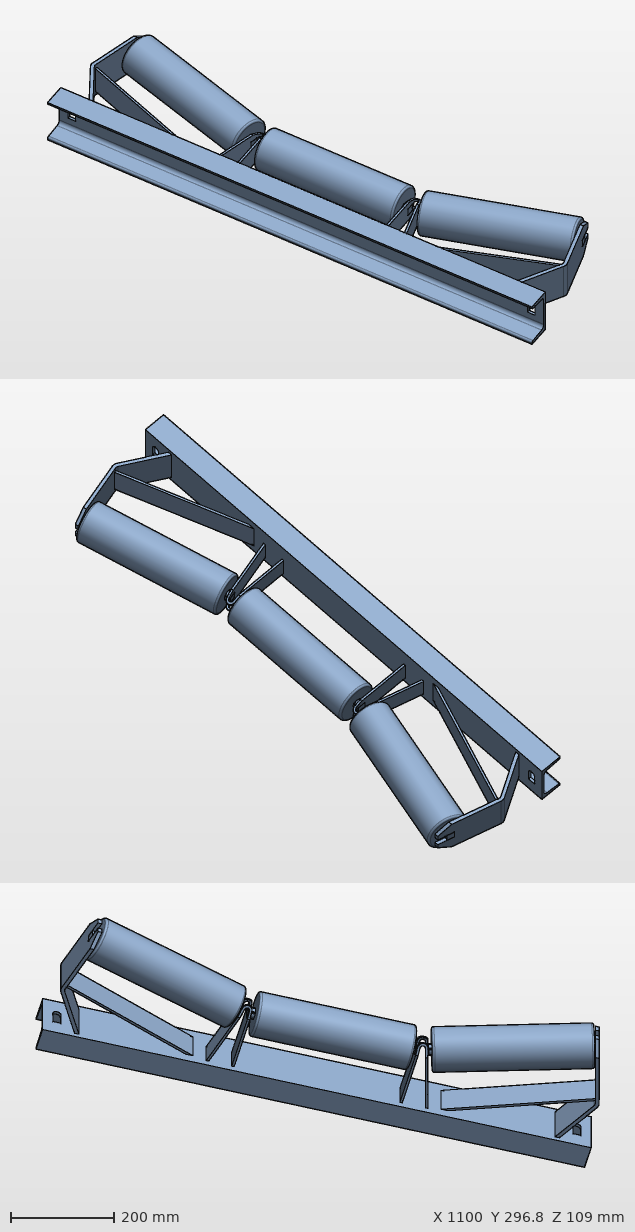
import cadquery as cq
import math


BEAM_LENGTH = 1100.0
BEAM_HEIGHT = 100.0
BEAM_DEPTH = 50.0
WEB_THICKNESS = 6.0
FLANGE_ROOT = 10.2
FLANGE_TIP = 6.8
ROOT_RADIUS = 8.5
FLANGE_TIP_RADIUS = 4.0
MOUNT_SLOT_X = 521.0
MOUNT_SLOT_WIDTH = 16.0
MOUNT_SLOT_HEIGHT = 34.0
MID_Z = BEAM_HEIGHT / 2

ROLLER_DIAMETER = 89.0
ROLLER_LENGTH = 315.0
ROLLER_EDGE_RADIUS = 4.0
SHAFT_DIAMETER = 20.0
SHAFT_SQUARE = 16.0
SHOULDER_CLEARANCE = 1.0
SLOT_LENGTH = 20.0
CENTER_AXIS_Y = 118.0
DROP_BELOW_BEAM = 9.0
CENTER_AXIS_Z = ROLLER_DIAMETER / 2 - DROP_BELOW_BEAM
SIDE_MID_X = 349.0
SIDE_MID_Y = 164.0
SIDE_YAW = 15.0
SIDE_PITCH = 2.4
SIDE_MID_Z = CENTER_AXIS_Z + ROLLER_LENGTH / 2 * math.sin(math.radians(SIDE_PITCH))

INNER_HEIGHT = 45.0
INNER_THICKNESS = 5.0
INNER_UPRIGHT_X = 166.0
INNER_LEANING_FOOT_X = 222.0
INNER_TIP_Y = 142.0
INNER_CHAMFER_RUN = INNER_TIP_Y - CENTER_AXIS_Y
INNER_CHAMFER_DROP = 11.0

OUTER_HEIGHT = 80.0
OUTER_THICKNESS = 8.0
OUTER_FOOT_X = 486.0
OUTER_TIP_X = 503.0
OUTER_TIP_Y = 235.0
OUTER_FOOT_LEAN = 30.0
OUTER_BEND_RADIUS = 15.0
OUTER_CHAMFER_RUN = 30.0
OUTER_CHAMFER_DROP = 20.0

STRUT_HEIGHT = 60.0
STRUT_THICKNESS = 5.0
STRUT_FOOT_X = 249.0
STRUT_ANGLE = 20.0

YAW_TAN = math.tan(math.radians(SIDE_YAW))
YAW_COS = math.cos(math.radians(SIDE_YAW))
YAW_SIN = math.sin(math.radians(SIDE_YAW))
FOOT_TAN = math.tan(math.radians(OUTER_FOOT_LEAN))
FOOT_COS = math.cos(math.radians(OUTER_FOOT_LEAN))

CENTER_GAP = INNER_UPRIGHT_X - ROLLER_LENGTH / 2
INNER_FACE_DISTANCE = (SIDE_MID_X - INNER_LEANING_FOOT_X) * YAW_COS + SIDE_MID_Y * YAW_SIN
INNER_LEAN_GAP = INNER_FACE_DISTANCE - ROLLER_LENGTH / 2
OUTER_FACE_DISTANCE = (OUTER_TIP_X - SIDE_MID_X) * YAW_COS + (OUTER_TIP_Y - SIDE_MID_Y) * YAW_SIN
OUTER_GAP = OUTER_FACE_DISTANCE - OUTER_THICKNESS - ROLLER_LENGTH / 2


def make_mount_slot(center_x):
    """Cutter for an upright slot with a flat lower end and a round upper end."""
    half_width = MOUNT_SLOT_WIDTH / 2
    bottom_z = MID_Z - MOUNT_SLOT_HEIGHT / 2
    top_z = MID_Z + MOUNT_SLOT_HEIGHT / 2
    return (
        cq.Workplane("XZ")
        .moveTo(center_x - half_width, bottom_z)
        .lineTo(center_x + half_width, bottom_z)
        .lineTo(center_x + half_width, top_z - half_width)
        .threePointArc((center_x, top_z), (center_x - half_width, top_z - half_width))
        .close()
        .extrude(WEB_THICKNESS)
    )


def make_beam():
    """Channel with tapered flanges pointing to -Y and a mounting slot near each end."""
    web_y = -WEB_THICKNESS
    profile = [
        (0, 0),
        (-BEAM_DEPTH, 0),
        (-BEAM_DEPTH, FLANGE_TIP),
        (web_y, FLANGE_ROOT),
        (web_y, BEAM_HEIGHT - FLANGE_ROOT),
        (-BEAM_DEPTH, BEAM_HEIGHT - FLANGE_TIP),
        (-BEAM_DEPTH, BEAM_HEIGHT),
        (0, BEAM_HEIGHT),
    ]
    beam = (
        cq.Workplane("YZ", origin=(-BEAM_LENGTH / 2, 0, 0)).polyline(profile).close().extrude(BEAM_LENGTH)
    )
    roots = [(0, web_y, FLANGE_ROOT), (0, web_y, BEAM_HEIGHT - FLANGE_ROOT)]
    tips = [(0, -BEAM_DEPTH, FLANGE_TIP), (0, -BEAM_DEPTH, BEAM_HEIGHT - FLANGE_TIP)]
    for points, radius in ((roots, ROOT_RADIUS), (tips, FLANGE_TIP_RADIUS)):
        for point in points:
            beam = beam.edges(cq.NearestToPointSelector(point)).fillet(radius)
    for center_x in (-MOUNT_SLOT_X, MOUNT_SLOT_X):
        beam = beam.cut(make_mount_slot(center_x))
    return beam


def make_roller(left_gap, left_bracket, right_gap, right_bracket):
    """Roller along X about the origin, with a shaft end squared where it sits in each bracket."""
    roller = (
        cq.Workplane("YZ", origin=(-ROLLER_LENGTH / 2, 0, 0))
        .circle(ROLLER_DIAMETER / 2)
        .extrude(ROLLER_LENGTH)
        .edges()
        .fillet(ROLLER_EDGE_RADIUS)
    )
    for side, gap, bracket in ((-1, left_gap, left_bracket), (1, right_gap, right_bracket)):
        end = cq.Workplane("YZ").workplane(offset=side * ROLLER_LENGTH / 2)
        round_part = end.circle(SHAFT_DIAMETER / 2).extrude(side * (gap - SHOULDER_CLEARANCE))
        square_part = end.rect(SHAFT_SQUARE, SHAFT_SQUARE).extrude(side * (gap + bracket))
        roller = roller.union(round_part).union(square_part)
    return roller


def make_shaft_slots():
    """Slots, open to +Y, that hold both shaft ends of a roller lying along X about the origin."""
    slot_depth = SHAFT_SQUARE / 2 + ROLLER_DIAMETER / 2
    slot_x = (ROLLER_LENGTH + SLOT_LENGTH) / 2
    ends = [(-slot_x, -SHAFT_SQUARE / 2), (slot_x, -SHAFT_SQUARE / 2)]
    slot_centering = (True, False, True)
    return cq.Workplane("XY").pushPoints(ends).box(
        SLOT_LENGTH, slot_depth, SHAFT_SQUARE, centered=slot_centering
    )


def place_center(body):
    return body.translate((0, CENTER_AXIS_Y, CENTER_AXIS_Z))


def place_side(body):
    """Move a body to the +X side roller, whose outer end is swung to +Y and raised."""
    body = body.rotate((0, 0, 0), (0, 1, 0), -SIDE_PITCH)
    body = body.rotate((0, 0, 0), (0, 0, 1), SIDE_YAW)
    return body.translate((SIDE_MID_X, SIDE_MID_Y, SIDE_MID_Z))


def extrude_bar(points, height, center_z):
    """Upright bar with the given XY outline, centred on the given Z."""
    base = cq.Workplane("XY", origin=(0, 0, center_z - height / 2))
    return base.polyline(points).close().extrude(height)


def chamfer_tip(bracket, tip_y, run, drop):
    """Slope the upper and lower corners of a bracket down to its narrow tip."""
    bounds = bracket.val().BoundingBox()
    for edge_z, tip_z in ((bounds.zmin, bounds.zmin + drop), (bounds.zmax, bounds.zmax - drop)):
        corner = [(tip_y - run, edge_z), (tip_y, edge_z), (tip_y, tip_z)]
        bracket = bracket.cut(cq.Workplane("YZ").polyline(corner).close().extrude(BEAM_LENGTH))
    return bracket


def round_bend(bar, x, y, center_z, radius):
    return bar.edges(cq.NearestToPointSelector((x, y, center_z))).fillet(radius)


def make_inner_wedge(inset):
    """Solid wedge between the legs' outer faces moved in by the inset, with a round top."""
    upright_x = INNER_UPRIGHT_X + inset
    leaning_x = INNER_LEANING_FOOT_X - inset / YAW_COS
    apex_y = (leaning_x - upright_x) / YAW_TAN
    outer_span = INNER_LEANING_FOOT_X - INNER_UPRIGHT_X
    outer_radius = (outer_span * YAW_COS - INNER_TIP_Y * YAW_SIN) / (1 + YAW_COS - YAW_SIN)
    outline = [(upright_x, 0), (leaning_x, 0), (upright_x, apex_y)]
    wedge = extrude_bar(outline, INNER_HEIGHT, CENTER_AXIS_Z)
    return round_bend(wedge, upright_x, apex_y, CENTER_AXIS_Z, outer_radius - inset)


def make_inner_bracket():
    bracket = make_inner_wedge(0).cut(make_inner_wedge(INNER_THICKNESS))
    return chamfer_tip(bracket, INNER_TIP_Y, INNER_CHAMFER_RUN, INNER_CHAMFER_DROP)


def outer_face_corner(inset):
    """Corner where the two straight faces of the outer bracket meet, at an inset from its outer side."""
    foot_x = OUTER_FOOT_X - inset / FOOT_COS
    tip_x = OUTER_TIP_X - inset / YAW_COS
    y = (tip_x + OUTER_TIP_Y * YAW_TAN - foot_x) / (FOOT_TAN + YAW_TAN)
    return foot_x + y * FOOT_TAN, y


def make_outer_bracket():
    outer_corner = outer_face_corner(0)
    inner_corner = outer_face_corner(OUTER_THICKNESS)
    outline = [
        (OUTER_FOOT_X, 0),
        outer_corner,
        (OUTER_TIP_X, OUTER_TIP_Y),
        (OUTER_TIP_X - OUTER_THICKNESS / YAW_COS, OUTER_TIP_Y),
        inner_corner,
        (OUTER_FOOT_X - OUTER_THICKNESS / FOOT_COS, 0),
    ]
    bracket = extrude_bar(outline, OUTER_HEIGHT, MID_Z)
    bracket = round_bend(bracket, *outer_corner, MID_Z, OUTER_BEND_RADIUS)
    bracket = round_bend(bracket, *inner_corner, MID_Z, OUTER_BEND_RADIUS - OUTER_THICKNESS)
    return chamfer_tip(bracket, OUTER_TIP_Y, OUTER_CHAMFER_RUN, OUTER_CHAMFER_DROP)


def make_strut(outer_bracket):
    """Sloping bar whose upper end is cut to the inner side of the outer bracket."""
    slope = math.tan(math.radians(STRUT_ANGLE))
    bottom_shift = STRUT_THICKNESS / math.sin(math.radians(STRUT_ANGLE))
    end_x = outer_face_corner(OUTER_THICKNESS / 2)[0]
    outline = [
        (STRUT_FOOT_X, 0),
        (STRUT_FOOT_X + bottom_shift, 0),
        (end_x, (end_x - STRUT_FOOT_X - bottom_shift) * slope),
        (end_x, (end_x - STRUT_FOOT_X) * slope),
    ]
    return extrude_bar(outline, STRUT_HEIGHT, MID_Z).cut(outer_bracket)


beam = make_beam()
center_roller = place_center(make_roller(CENTER_GAP, INNER_THICKNESS, CENTER_GAP, INNER_THICKNESS))
side_roller = place_side(make_roller(INNER_LEAN_GAP, INNER_THICKNESS, OUTER_GAP, OUTER_THICKNESS))

side_slots = place_side(make_shaft_slots())
center_slots = place_center(make_shaft_slots())
inner_bracket = make_inner_bracket().cut(center_slots).cut(side_slots)
outer_bracket = make_outer_bracket()
strut = make_strut(outer_bracket)
outer_bracket = outer_bracket.cut(side_slots)

bodies = beam.solids().vals() + center_roller.solids().vals()
for body in (side_roller, inner_bracket, outer_bracket, strut):
    bodies += body.solids().vals()
    bodies += body.mirror("YZ").solids().vals()

result = cq.Compound.makeCompound(bodies)